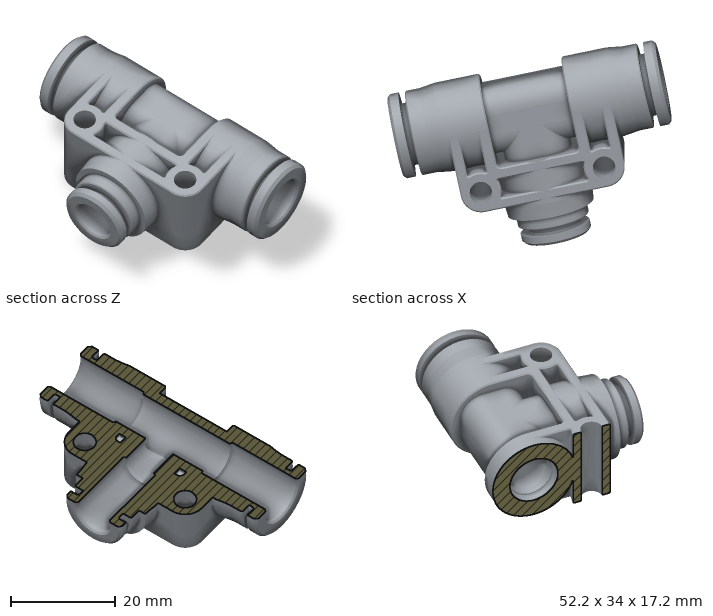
import cadquery as cq

RUN_HALF_LENGTH = 26.1
BRANCH_LENGTH = 25.35
BODY_RADIUS = 8.6

HOLE_X = 12.0
HOLE_Y = -12.0
HOLE_RADIUS = 2.15
BOSS_RADIUS = 3.9
BLOCK_HALF_WIDTH = HOLE_X + BOSS_RADIUS
BLOCK_FRONT_Y = HOLE_Y - BOSS_RADIUS
POCKET_HALF_WIDTH = 1.9
POCKET_CORNER_RADIUS = 0.25
RIM_CHAMFER = 0.25

RECESS_HALF_WIDTH = 8.0
RECESS_FRONT_Y = -8.05
RECESS_CORNER_RADIUS = 0.9
TUBE_HALF_WIDTH = 6.45
TUBE_CORNER_RADIUS = 4.55
WEB_THICKNESS = 1.05

RUN_BODY_END = 16.75
RUN_CONE_END = 19.75
RUN_CAP_RADIUS = 8.2
RUN_CAP_END = 22.6
RUN_NECK_RADIUS = 6.0
RUN_COLLAR_START = 23.85
BRANCH_BODY_END = 16.65
BRANCH_CONE_END = 19.65
BRANCH_CONE_RADIUS = 8.35
BRANCH_CAP_RADIUS = 6.9
BRANCH_CAP_END = 22.1
BRANCH_NECK_RADIUS = 4.95
BRANCH_COLLAR_START = 23.5
BRANCH_COLLAR_RADIUS = 6.75
CAP_CHAMFER = 0.2
NECK_CHAMFER = 0.25
COLLAR_CHAMFER = 0.6

RUN_SOCKET_RADIUS = 4.95
RUN_PASSAGE_RADIUS = 4.45
BRANCH_SOCKET_RADIUS = 3.95
BRANCH_PASSAGE_RADIUS = 3.45
SOCKET_END = 10.45
SOCKET_BOTTOM_CONE = 0.25
MOUTH_CHAMFER = 0.35


def revolve_about_x(profile):
    """Turn a (station, radius) outline about the X axis."""
    return cq.Workplane("XY").polyline(profile).close().revolve(360, (0, 0), (1, 0))


def to_branch(solid):
    """Swing a solid from the +X axis to the -Y axis."""
    return solid.rotate((0, 0, 0), (0, 0, 1), -90)


def collar_profile(cap_end, neck_radius, collar_start, collar_radius, tip, cap_radius):
    """Outline from the cap's outer edge over the neck to the collar face."""
    return [
        (cap_end - CAP_CHAMFER, cap_radius),
        (cap_end, cap_radius - CAP_CHAMFER),
        (cap_end, neck_radius),
        (collar_start - NECK_CHAMFER, neck_radius),
        (collar_start, neck_radius + NECK_CHAMFER),
        (collar_start, collar_radius),
        (tip - COLLAR_CHAMFER, collar_radius),
        (tip, collar_radius - COLLAR_CHAMFER),
        (tip, 0),
    ]


def make_run_end():
    """Round body, cone, cap and release collar at +X."""
    start = [
        (RECESS_HALF_WIDTH, 0),
        (RECESS_HALF_WIDTH, BODY_RADIUS - RIM_CHAMFER),
        (RECESS_HALF_WIDTH + RIM_CHAMFER, BODY_RADIUS),
        (RUN_BODY_END, BODY_RADIUS),
        (RUN_CONE_END, RUN_CAP_RADIUS),
    ]
    end = collar_profile(
        RUN_CAP_END, RUN_NECK_RADIUS, RUN_COLLAR_START,
        RUN_CAP_RADIUS, RUN_HALF_LENGTH, RUN_CAP_RADIUS,
    )
    return revolve_about_x(start + end)


def make_branch_end():
    """Round body, cone, stepped-down cap and release collar at -Y."""
    start = [
        (-RECESS_FRONT_Y, 0),
        (-RECESS_FRONT_Y, BODY_RADIUS),
        (BRANCH_BODY_END, BODY_RADIUS),
        (BRANCH_CONE_END, BRANCH_CONE_RADIUS),
        (BRANCH_CONE_END, BRANCH_CAP_RADIUS),
    ]
    end = collar_profile(
        BRANCH_CAP_END, BRANCH_NECK_RADIUS, BRANCH_COLLAR_START,
        BRANCH_COLLAR_RADIUS, BRANCH_LENGTH, BRANCH_CAP_RADIUS,
    )
    return to_branch(revolve_about_x(start + end))


def upright_box(x_min, x_max, y_min, y_max):
    """Box over the full body height."""
    return (
        cq.Workplane("XY")
        .box(x_max - x_min, y_max - y_min, 2 * BODY_RADIUS, centered=(False, False, True))
        .translate((x_min, y_min, 0))
    )


def screw_cylinders(radius):
    """Two full-height cylinders on the screw axes."""
    return (
        cq.Workplane("XY", origin=(0, 0, -BODY_RADIUS))
        .pushPoints([(-HOLE_X, HOLE_Y), (HOLE_X, HOLE_Y)])
        .circle(radius)
        .extrude(2 * BODY_RADIUS)
    )


def make_block():
    """Ribbed block, with its upper and lower rims chamfered."""
    block = upright_box(-BLOCK_HALF_WIDTH, BLOCK_HALF_WIDTH, BLOCK_FRONT_Y, 0)
    block = block.edges("|Z and <Y").fillet(BOSS_RADIUS)

    recess = upright_box(-RECESS_HALF_WIDTH, RECESS_HALF_WIDTH, RECESS_FRONT_Y, 0)
    block = block.cut(recess.edges("|Z and <Y").fillet(RECESS_CORNER_RADIUS))

    pockets = upright_box(-HOLE_X, HOLE_X, HOLE_Y - POCKET_HALF_WIDTH, HOLE_Y + POCKET_HALF_WIDTH)
    for x in (-HOLE_X, HOLE_X):
        slot = upright_box(x - POCKET_HALF_WIDTH, x + POCKET_HALF_WIDTH, HOLE_Y, BODY_RADIUS)
        pockets = pockets.union(slot)
    pockets = pockets.cut(screw_cylinders(BOSS_RADIUS)).edges("|Z").fillet(POCKET_CORNER_RADIUS)
    block = block.cut(pockets)

    rib_ends = cq.selectors.BoxSelector(
        (-RUN_HALF_LENGTH, -RIM_CHAMFER, -RUN_HALF_LENGTH),
        (RUN_HALF_LENGTH, RIM_CHAMFER, RUN_HALF_LENGTH),
    )
    rims = cq.selectors.SubtractSelector(cq.StringSyntaxSelector("#Z"), rib_ends)
    return block.edges(rims).chamfer(RIM_CHAMFER)


def tube_section(plane, length, both):
    """Bar with the square, round-cornered section of the tube."""
    return (
        cq.Workplane(plane)
        .sketch()
        .rect(2 * TUBE_HALF_WIDTH, 2 * TUBE_HALF_WIDTH)
        .vertices()
        .fillet(TUBE_CORNER_RADIUS)
        .finalize()
        .extrude(length, both=both)
    )


def make_tube():
    """Bare T-shaped tube and the thin web beside it."""
    run = tube_section("YZ", RECESS_HALF_WIDTH, both=True)
    branch = tube_section("XZ", -RECESS_FRONT_Y, both=False)
    web = cq.Workplane("XY").box(
        2 * RECESS_HALF_WIDTH, -RECESS_FRONT_Y, WEB_THICKNESS, centered=(True, False, True)
    ).translate((0, RECESS_FRONT_Y, 0))
    return run.union(branch).union(web)


def make_bore(socket_radius, passage_radius, tip):
    """Stepped bore along +X with a chamfered mouth."""
    return revolve_about_x([
        (0, 0),
        (0, passage_radius),
        (SOCKET_END, passage_radius),
        (SOCKET_END, socket_radius - SOCKET_BOTTOM_CONE),
        (SOCKET_END + SOCKET_BOTTOM_CONE, socket_radius),
        (tip - MOUTH_CHAMFER, socket_radius),
        (tip, socket_radius + MOUTH_CHAMFER),
        (tip, 0),
    ])


def mirror_run(solid):
    """Copy a run feature to the -X end."""
    return solid.mirror("YZ")


run_end = make_run_end()
run_bore = make_bore(RUN_SOCKET_RADIUS, RUN_PASSAGE_RADIUS, RUN_HALF_LENGTH)
branch_bore = to_branch(make_bore(BRANCH_SOCKET_RADIUS, BRANCH_PASSAGE_RADIUS, BRANCH_LENGTH))
screw_holes = screw_cylinders(HOLE_RADIUS)

result = make_block().union(make_tube())
for solid in (run_end, mirror_run(run_end), make_branch_end()):
    result = result.union(solid)
for bore in (run_bore, mirror_run(run_bore), branch_bore, screw_holes):
    result = result.cut(bore)